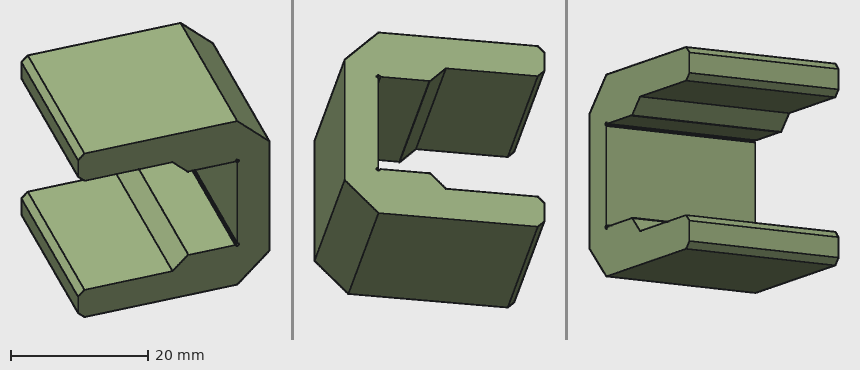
import cadquery as cq

width = 25.0
depth = 29.58
height = 30.0

wall = 5.0
back_chamfer = wall
tip_chamfer = 1.0

seat_half_height = 7.65
ramp_end_depth = 15.0
lip_height = 0.1
lip_length = 0.03
relief_reach = 0.3

half_height = height / 2
back = depth / 2
front = -back
seat_back = back - wall
mouth_half_height = half_height - wall
lip_half_height = seat_half_height - lip_height
ramp_end = back - ramp_end_depth
lip_crest = ramp_end + mouth_half_height - lip_half_height
lip_root = lip_crest + lip_length

upper_outline = [
    (seat_back, seat_half_height - relief_reach),
    (seat_back + relief_reach, seat_half_height),
    (seat_back, seat_half_height + relief_reach),
    (seat_back - relief_reach, seat_half_height),
    (lip_root, seat_half_height),
    (lip_crest, lip_half_height),
    (ramp_end, mouth_half_height),
    (front + tip_chamfer, mouth_half_height),
    (front, mouth_half_height + tip_chamfer),
    (front, half_height - tip_chamfer),
    (front + tip_chamfer, half_height),
    (back - back_chamfer, half_height),
    (back, half_height - back_chamfer),
]
lower_outline = [(y, -z) for y, z in reversed(upper_outline)]

section = cq.Workplane("YZ").polyline(upper_outline + lower_outline).close()
result = section.extrude(width / 2, both=True)